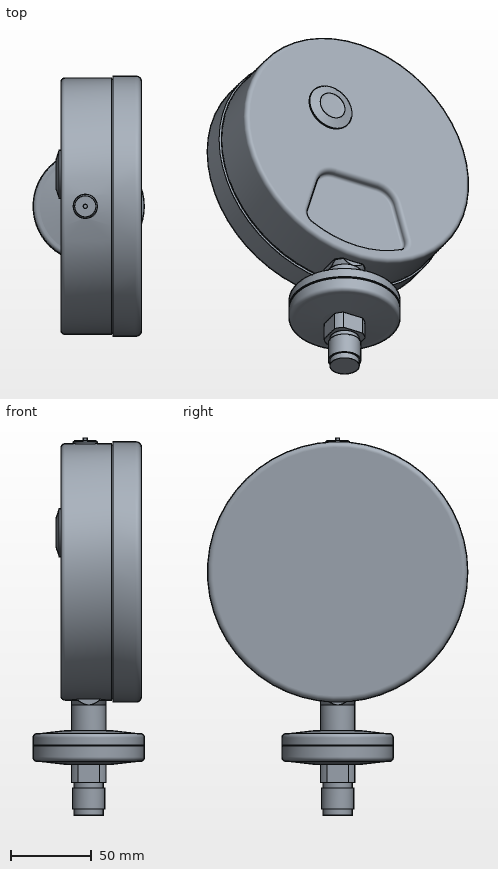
import cadquery as cq
import math

overall_height = 233.8

case_radius = 79.5
ring_radius = 80.7
case_back_x = -17.3
ring_start_x = 15.0
ring_end_x = 32.7
case_center_z = 150.8
case_edge_round = 2.8
ring_edge_round = 3.5
seam_width = 0.7
seam_depth = 0.7

panel_top_z = 132.0
panel_top_half_width = 27.4
panel_side_angle = 16
panel_bottom_radius = 73.5
panel_top_corner = 16.1
panel_bottom_corner = 9.4
panel_depth = 5.4
panel_lip_round = 3.0
panel_floor_round = 1.9

button_y = 19.9
button_z = 175.0
button_diameter = 30.0
button_face_diameter = 17.5
button_dimple_diameter = 13.5
button_rim_height = 1.0
button_height = 3.0
button_dimple_depth = 0.2

plug_x = -2.0
plug_diameter = 15.0
plug_top_z = 232.2
plug_chamfer = 1.0
plug_pin_diameter = 2.5

stem_diameter = 21.5
thread_diameter = 20.0
relief_diameter = 18.2
tip_length = 4.0
thread_top_z = 17.0
square_bottom_z = 20.3
stem_top_z = 68.5

square_flat_width = 13.3
square_corner_radius = math.hypot(stem_diameter, square_flat_width) / 2
neck_cone_height = 2.8

flange_radius = 69.0 / 2
flange_bottom_z = 31.5
flange_top_z = 52.5
crown_height = 1.9
crown_inner_radius = 14
crown_outer_radius = 30.2
flange_edge_round = 2.5
flange_groove_z = 43.3
flange_groove_width = 0.7
flange_groove_depth = 0.5

overlap = 7


def z_cylinder(diameter, bottom, top):
    return cq.Workplane("XY").workplane(offset=bottom).circle(diameter / 2).extrude(top - bottom)


def x_cylinder(radius, start, end):
    plane = cq.Workplane("YZ", origin=(start, 0, case_center_z))
    return plane.circle(radius).extrude(end - start)


def make_case():
    body = x_cylinder(case_radius, case_back_x, ring_start_x)
    body = body.faces("<X").edges().fillet(case_edge_round)
    ring = x_cylinder(ring_radius, ring_start_x, ring_end_x)
    ring = ring.faces(">X").edges().fillet(ring_edge_round)
    seam_start = ring_start_x - seam_width
    seam = x_cylinder(ring_radius, seam_start, ring_start_x)
    seam = seam.cut(x_cylinder(case_radius - seam_depth, seam_start, ring_start_x))
    return body.cut(seam).union(ring)


def make_panel_recess():
    """Trapezoid with an arched bottom; the wall is rounded at both the lip and the floor."""
    bottom_z = case_center_z - panel_bottom_radius
    slope = math.tan(math.radians(panel_side_angle))
    bottom_half_width = panel_top_half_width + (panel_top_z - bottom_z) * slope
    trapezoid = (
        cq.Workplane("YZ", origin=(case_back_x, 0, 0))
        .polyline([
            (-panel_top_half_width, panel_top_z),
            (panel_top_half_width, panel_top_z),
            (bottom_half_width, bottom_z),
            (-bottom_half_width, bottom_z),
        ])
        .close()
        .extrude(panel_depth)
    )
    disc = x_cylinder(panel_bottom_radius, case_back_x, case_back_x + panel_depth)
    outline = trapezoid.intersect(disc)
    outline = outline.edges("|X").edges(">Z").fillet(panel_top_corner)
    outline = outline.edges("|X").edges("<Z").fillet(panel_bottom_corner)
    wall_outlines = outline.faces("<X").wires().val().offset2D(-panel_lip_round)
    wall_plane = cq.Workplane("YZ", origin=(case_back_x, 0, 0))
    recess = wall_plane.newObject(wall_outlines).toPending().extrude(panel_depth)
    return recess.faces(">X").edges().fillet(panel_floor_round)


def make_button():
    """Truncated cone with a shallow dimple, revolved about an axis along X."""
    base_x = case_back_x + overlap
    rim_x = case_back_x - button_rim_height
    face_x = case_back_x - button_height
    dimple_x = face_x + button_dimple_depth
    return (
        cq.Workplane("XY", origin=(0, button_y, button_z))
        .moveTo(base_x, 0)
        .lineTo(base_x, button_diameter / 2)
        .lineTo(rim_x, button_diameter / 2)
        .lineTo(face_x, button_face_diameter / 2)
        .lineTo(dimple_x, button_dimple_diameter / 2)
        .lineTo(dimple_x, 0)
        .close()
        .revolve(360, (0, 0, 0), (1, 0, 0))
    )


def make_plug():
    plug = z_cylinder(plug_diameter, plug_top_z - overlap, plug_top_z)
    plug = plug.faces(">Z").edges().chamfer(plug_chamfer)
    pin = z_cylinder(plug_pin_diameter, plug_top_z - overlap, overall_height)
    return plug.union(pin).translate((plug_x, 0, 0))


def make_square(bottom, top):
    block = cq.Workplane("XY").workplane(offset=bottom).rect(stem_diameter, stem_diameter)
    return block.extrude(top - bottom).intersect(z_cylinder(2 * square_corner_radius, bottom, top))


def make_neck():
    """Square under the case, with its corners tapering into the round stem."""
    top = case_center_z - case_radius + overlap
    taper = (
        cq.Workplane("XZ")
        .moveTo(0, stem_top_z)
        .lineTo(stem_diameter / 2, stem_top_z)
        .lineTo(square_corner_radius, stem_top_z + neck_cone_height)
        .lineTo(square_corner_radius, top)
        .lineTo(0, top)
        .close()
        .revolve(360, (0, 0, 0), (0, 1, 0))
    )
    return make_square(stem_top_z, top).intersect(taper)


def make_stem():
    tip = z_cylinder(relief_diameter, 0, square_bottom_z)
    thread = z_cylinder(thread_diameter, tip_length, thread_top_z)
    square = make_square(square_bottom_z, flange_bottom_z)
    shaft = z_cylinder(stem_diameter, flange_bottom_z, stem_top_z)
    return tip.union(thread).union(square).union(shaft).union(make_neck())


def make_flange():
    rim_bottom = flange_bottom_z + crown_height
    rim_top = flange_top_z - crown_height
    disc = z_cylinder(2 * flange_radius, rim_bottom, rim_top)
    disc = disc.faces("<Z or >Z").edges().fillet(flange_edge_round)
    crowns = (
        cq.Workplane("XZ")
        .moveTo(0, flange_bottom_z)
        .lineTo(crown_inner_radius, flange_bottom_z)
        .lineTo(crown_outer_radius, rim_bottom)
        .lineTo(crown_outer_radius, rim_top)
        .lineTo(crown_inner_radius, flange_top_z)
        .lineTo(0, flange_top_z)
        .close()
        .revolve(360, (0, 0, 0), (0, 1, 0))
    )
    groove_bottom = flange_groove_z - flange_groove_width / 2
    groove_top = groove_bottom + flange_groove_width
    groove = z_cylinder(2 * flange_radius, groove_bottom, groove_top)
    groove = groove.cut(z_cylinder(2 * (flange_radius - flange_groove_depth), groove_bottom, groove_top))
    return disc.union(crowns).cut(groove)


case = make_case().cut(make_panel_recess())
lip_zone = cq.selectors.BoxSelector(
    (case_back_x - seam_width, -case_radius / 2, case_center_z - panel_bottom_radius),
    (case_back_x + seam_width, case_radius / 2, panel_top_z),
)
case = case.edges(lip_zone).fillet(panel_lip_round)

result = case.union(make_button()).union(make_plug()).union(make_stem()).union(make_flange())